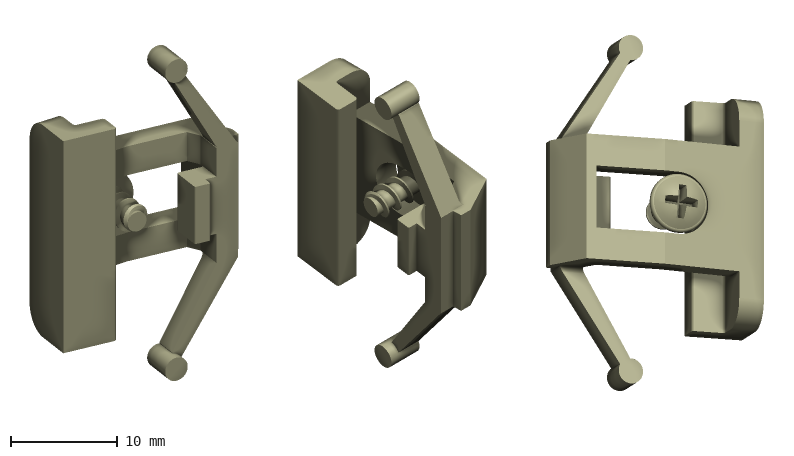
import cadquery as cq
import math


wall = 2.5
rear_x = 7.8
half_height = 5.98
foot_half_height = 11.02
foot_height = 2.55
foot_front_x = 1.3
bend_y = 10.2
inner_bend_y = 9.85
shoulder_y = 17.95
inner_shoulder_y = 16.15
hook_top_y = 5.75
hook_round = 0.3
hook_front_x = rear_x - wall
foot_corner_radius = wall

head_top_y = 20.2
head_under_y = 16.95
head_under_x = 3.8
head_crown_x = 4.0
lip_top_x = 5.18
lip_base_x = 5.35
ledge_y = 19.25
tongue_front_x = 4.3
ledge_rear_x = 6.8

window_half_width = 2.97
axis_y = 8.72
tongue_end_y = 14.1
tongue_round = 0.25
catch_top_y = 15.75
catch_round = 0.17

arm_blend = 0.5
arm_root_outer_y = 19.2
arm_root_inner_y = 17.0
arm_tip_outer = (13.23, 14.85)
arm_tip_inner = (12.22, 14.23)
ball_radius = 1.2
ball_y = 12.12
ball_z = 16.7 - ball_radius

screw_head_radius = 2.8
dome_tip_x = -0.8
dome_edge_x = 0.1
dome_edge_radius = 2.55
head_base_x = 0.57
rim_x = 0.45
shank_radius = 1.0
shank_end_x = 6.35
thread_radius = 1.55
thread_pitch = 1.5
thread_start_x = 0.95
thread_turns = 4
thread_root_width = 0.4
thread_crest_width = 0.17
thread_root_sink = 0.07
thread_taper_x = 5.68
recess_length = 3.4
recess_width = 0.9
recess_depth = 1.35
recess_taper = 15.0
recess_turn = 4.3


def lean_x(y):
    """X of the leaning plate's outer face at height y."""
    return foot_front_x * (1 - y / bend_y)


def slab(points, half_z):
    """Solid with an XY outline, centred on Z = 0."""
    return cq.Workplane("XY").polyline(points).close().extrude(half_z, both=True)


def make_plate():
    """Plate with its slanted head, down to the foot."""
    outline = [
        (lean_x(foot_height), foot_height),
        (0, bend_y),
        (0, shoulder_y),
        (head_crown_x, head_top_y),
        (lip_top_x, head_top_y),
        (lip_base_x, ledge_y),
        (ledge_rear_x, ledge_y),
        (ledge_rear_x, head_under_y),
        (head_under_x, head_under_y),
        (wall, inner_shoulder_y),
        (wall, inner_bend_y),
        (wall + lean_x(foot_height), foot_height),
    ]
    return slab(outline, half_height)


def make_foot():
    """Long foot with the hook, rounded at the ends of its leaning face."""
    outline = [
        (foot_front_x, 0),
        (rear_x, 0),
        (rear_x, hook_top_y),
        (hook_front_x, hook_top_y),
        (hook_front_x, foot_height),
        (lean_x(foot_height), foot_height),
    ]
    hook_corners = cq.selectors.BoxSelector(
        (hook_front_x - 0.35, foot_height - 0.35, -0.35), (rear_x + 0.35, hook_top_y + 0.35, 0.35)
    )
    foot = slab(outline, foot_half_height).edges("|Z").edges(hook_corners).fillet(hook_round)
    leaning_face = foot.faces("<X")
    return leaning_face.edges("<Z or >Z").fillet(foot_corner_radius)


def make_tongue():
    """Tongue below the head, with the catch on its rear."""
    width = 2 * window_half_width
    tongue = cq.Workplane("XY").box(
        ledge_rear_x - tongue_front_x, head_under_y - tongue_end_y, width, centered=(False, False, True)
    ).translate((tongue_front_x, tongue_end_y, 0))
    tongue = tongue.edges("<X and <Y").fillet(tongue_round)
    catch = cq.Workplane("XY").box(
        rear_x - ledge_rear_x, catch_top_y - tongue_end_y, width, centered=(False, False, True)
    ).translate((ledge_rear_x, tongue_end_y, 0))
    catch = catch.edges(">X and |Z").fillet(catch_round)
    root_blend = (
        cq.Workplane("XY")
        .moveTo(tongue_front_x, head_under_y)
        .lineTo(tongue_front_x - tongue_round, head_under_y)
        .radiusArc((tongue_front_x, head_under_y - tongue_round), tongue_round)
        .close()
        .extrude(window_half_width, both=True)
    )
    return tongue.union(catch).union(root_blend)


def make_arm():
    """Upper spring arm with its round end and the blend at its root."""
    outline = [
        (arm_root_outer_y, half_height),
        arm_tip_outer,
        (ball_y, ball_z),
        arm_tip_inner,
        (arm_root_inner_y, half_height),
    ]
    blend_front_x = tongue_front_x - arm_blend
    arm = (
        cq.Workplane("YZ", origin=(blend_front_x, 0, 0))
        .polyline(outline).close()
        .extrude(ledge_rear_x - blend_front_x)
    )
    blend_z = half_height + arm_blend
    blend_cylinder = (
        cq.Workplane("XZ").center(blend_front_x, blend_z).circle(arm_blend).extrude(-head_top_y)
    )
    above_blend = cq.Workplane("XY").box(
        arm_blend, head_top_y, ball_z, centered=False
    ).translate((blend_front_x, 0, blend_z))
    ball = (
        cq.Workplane("YZ", origin=(tongue_front_x, 0, 0))
        .center(ball_y, ball_z).circle(ball_radius)
        .extrude(rear_x - tongue_front_x)
    )
    return arm.cut(blend_cylinder).cut(above_blend).union(ball)


def make_window():
    """Cutter for the window, square at the top and round at the bottom."""
    return (
        cq.Workplane("YZ")
        .moveTo(head_under_y, window_half_width)
        .lineTo(axis_y, window_half_width)
        .threePointArc((axis_y - window_half_width, 0), (axis_y, -window_half_width))
        .lineTo(head_under_y, -window_half_width)
        .close()
        .extrude(head_under_x)
    )


def make_clip():
    arm = make_arm()
    clip = make_plate().cut(make_window()).union(make_foot()).union(make_tongue())
    return clip.union(arm).union(arm.mirror("XY"))


def turned(outline):
    """Solid of revolution about the screw axis from an (X, radius) outline wire."""
    axis_start = (0, 0)
    axis_end = (1, 0)
    return outline.close().revolve(360, axis_start, axis_end).translate((0, axis_y, 0))


def make_screw_blank():
    """Domed head and plain shank."""
    sagitta = dome_edge_x - dome_tip_x
    dome_radius = (dome_edge_radius**2 + sagitta**2) / (2 * sagitta)
    mid_radius = dome_edge_radius / 2
    mid_x = dome_tip_x + dome_radius - math.sqrt(dome_radius**2 - mid_radius**2)
    rim_depth = rim_x - dome_edge_x
    rim_overhang = screw_head_radius - dome_edge_radius
    rim_mid_x = rim_x - rim_depth * math.cos(math.pi / 4)
    rim_mid_radius = dome_edge_radius + rim_overhang * math.sin(math.pi / 4)
    outline = (
        cq.Workplane("XY")
        .moveTo(dome_tip_x, 0)
        .threePointArc((mid_x, mid_radius), (dome_edge_x, dome_edge_radius))
        .threePointArc((rim_mid_x, rim_mid_radius), (rim_x, screw_head_radius))
        .lineTo(head_base_x, screw_head_radius)
        .lineTo(head_base_x, shank_radius)
        .lineTo(shank_end_x, shank_radius)
        .lineTo(shank_end_x, 0)
    )
    return turned(outline)


def make_thread():
    """Right-handed thread that runs out in a cone at the screw's end."""
    axis = cq.Plane(origin=(thread_start_x, axis_y, 0), xDir=(0, 1, 0), normal=(1, 0, 0))
    root_radius = shank_radius - thread_root_sink
    helix = cq.Wire.makeHelix(thread_pitch, thread_pitch * thread_turns, root_radius)
    section = [
        (root_radius, -thread_root_width / 2),
        (thread_radius, -thread_crest_width / 2),
        (thread_radius, thread_crest_width / 2),
        (root_radius, thread_root_width / 2),
    ]
    ridge = cq.Workplane("XZ").polyline(section).close().sweep(cq.Workplane(helix), isFrenet=True)
    ridge = cq.Workplane(ridge.val().moved(cq.Location(axis)))
    envelope_radius = thread_radius + thread_root_sink
    envelope = turned(
        cq.Workplane("XY")
        .moveTo(head_base_x, 0)
        .lineTo(head_base_x, envelope_radius)
        .lineTo(thread_taper_x, envelope_radius)
        .lineTo(shank_end_x, shank_radius)
        .lineTo(shank_end_x, 0)
    )
    return ridge.intersect(envelope)


def make_recess():
    """Cutter for the tapered cross recess in the head."""
    slot = (
        cq.Workplane("YZ", origin=(dome_tip_x, 0, 0))
        .rect(recess_length, recess_width)
        .extrude(recess_depth, taper=recess_taper)
    )
    axis_end = (1, 0, 0)
    cross = slot.union(slot.rotate((0, 0, 0), axis_end, 90))
    return cross.rotate((0, 0, 0), axis_end, recess_turn).translate((0, axis_y, 0))


def make_screw():
    return make_screw_blank().union(make_thread()).cut(make_recess())


clip = make_clip()
screw = make_screw()

result = cq.Compound.makeCompound([clip.val(), screw.val()])